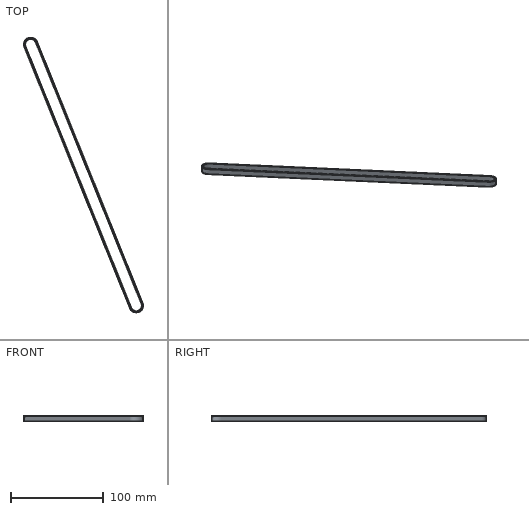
import cadquery as cq
import math

length_x = 129.0
length_y = 297.5
belt_width = 6.0
outer_radius = 7.5
belt_thickness = 1.5

span_x = length_x - 2 * outer_radius
span_y = length_y - 2 * outer_radius
center_distance = math.hypot(span_x, span_y)
tilt = math.degrees(math.atan2(span_y, -span_x))


def belt_loop(radius):
    """Solid stadium around both pulley centres, with the given end radius."""
    return (
        cq.Workplane("XY")
        .slot2D(center_distance + 2 * radius, 2 * radius, tilt)
        .extrude(belt_width)
    )


inner_radius = outer_radius - belt_thickness
result = belt_loop(outer_radius).cut(belt_loop(inner_radius))